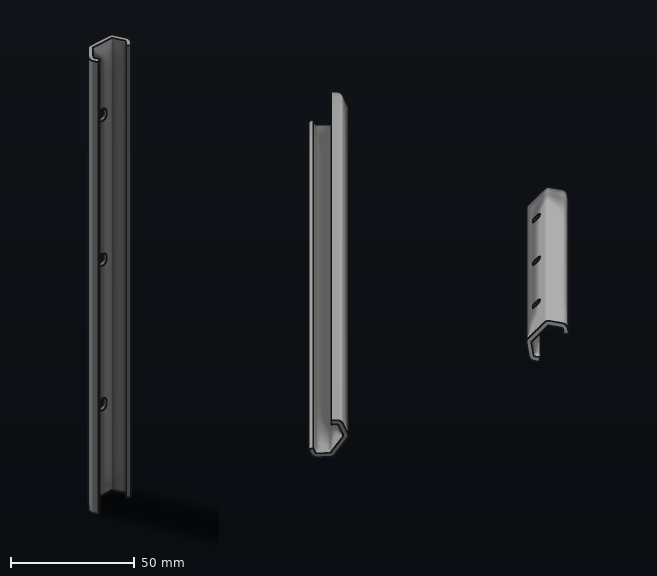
import cadquery as cq
import math

length = 250.0
width = 20.2
depth = 10.2
thickness = 2.0

web_half_width = 4.8
bend_radius = 2.2
flank_normal = 125.0
curl_radius = 2.8
lip_normal = 55.0

slot_width = 4.2
slot_length = 6.5
slot_pitch = 80.0
lowest_slot_z = 50.0
slot_count = 3


def polar(centre, radius, angle):
    """Point on a circle, with the angle in degrees from +X."""
    turn = math.radians(angle)
    return (centre[0] + radius * math.cos(turn), centre[1] + radius * math.sin(turn))


def half_section():
    """The strip on the +Y side, bounded by two parallel curves."""
    bend_centre = (bend_radius, web_half_width)
    bend_mid_angle = (180 + flank_normal) / 2
    curl_mid_angle = (flank_normal + lip_normal) / 2

    bend_end = polar(bend_centre, bend_radius, flank_normal)
    curl_centre_y = width / 2 - curl_radius
    curl_start_y = polar((0, curl_centre_y), curl_radius, flank_normal)[1]
    flank_slope = math.tan(math.radians(flank_normal - 90))
    curl_start_x = bend_end[0] + (curl_start_y - bend_end[1]) / flank_slope
    curl_centre_x = polar((curl_start_x, 0), -curl_radius, flank_normal)[0]
    curl_centre = (curl_centre_x, curl_centre_y)

    curl_end = polar(curl_centre, curl_radius, lip_normal)
    lip_length = (depth - curl_end[0]) / math.sin(math.radians(lip_normal))
    outer_tip = polar(curl_end, lip_length, lip_normal - 90)
    inner_tip = polar(outer_tip, -thickness, lip_normal)

    inner_bend = bend_radius - thickness
    inner_curl = curl_radius - thickness
    return (
        cq.Workplane("XY")
        .lineTo(0, web_half_width)
        .threePointArc(polar(bend_centre, bend_radius, bend_mid_angle), bend_end)
        .lineTo(curl_start_x, curl_start_y)
        .threePointArc(polar(curl_centre, curl_radius, curl_mid_angle), curl_end)
        .lineTo(*outer_tip)
        .lineTo(*inner_tip)
        .lineTo(*polar(curl_centre, inner_curl, lip_normal))
        .threePointArc(
            polar(curl_centre, inner_curl, curl_mid_angle),
            polar(curl_centre, inner_curl, flank_normal),
        )
        .lineTo(*polar(bend_centre, inner_bend, flank_normal))
        .threePointArc(
            polar(bend_centre, inner_bend, bend_mid_angle),
            (thickness, web_half_width),
        )
        .lineTo(thickness, 0)
        .close()
    )


def rail():
    half = half_section().extrude(length)
    return half.union(half.mirror("XZ")).clean()


def slots():
    centres = [(0, lowest_slot_z + i * slot_pitch) for i in range(slot_count)]
    return (
        cq.Workplane("YZ")
        .pushPoints(centres)
        .slot2D(slot_length, slot_width, 90)
        .extrude(thickness)
    )


result = rail().cut(slots())